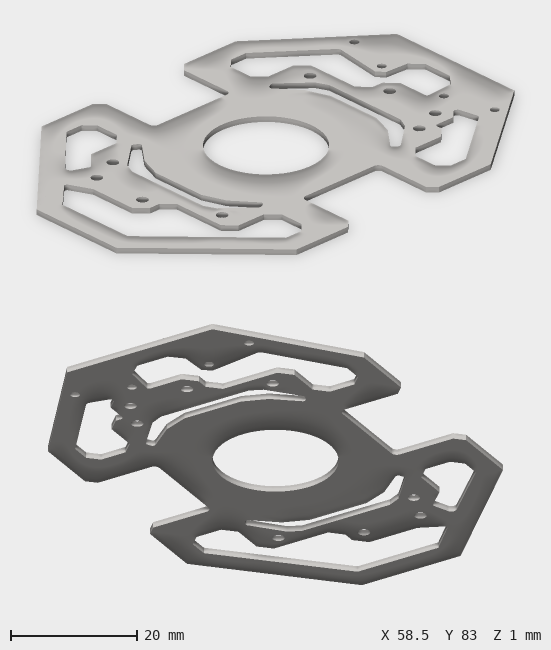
import cadquery as cq
import math

LENGTH = 83.0
WIDTH = 58.5
THICKNESS = 1.0
TOP_HALF_WIDTH = 13.45
BOTTOM_HALF_WIDTH = 9.1
SIDE_END_Y = 21.25
WAIST_X = 16.9
SHOULDER_Y = 8.5
SHOULDER_CHAMFER = 1.5
WAIST_FILLET = 1.0

RAIL_WIDTH = 4.1
POCKET_START_Y = 14.6
POCKET_SIDE_END_Y = 19.7
STEP_Y = 24.15
BOSS_X = 2.9
BOSS_Y = 30.2
POCKET_CHAMFER = 2.0
POCKET_OUTER_CHAMFER = 1.75
SMALL_FILLET = 0.5

UPPER_TIP_X = 16.0
UPPER_TIP_Y = 31.4
UPPER_TIP_FILLET = 0.8
WINDOW_TOP_Y = 37.6
WINDOW_TOP_X = 4.8
WINDOW_BASE_X = 5.3
PIN_TAB_X = 5.2
PIN_TAB_Y = 29.9
PIN_TAB_CHAMFER = 1.3
NOTCH_X = 13.45
NOTCH_SLANT_Y = 28.2
NOTCH_END_X = 11.7
NOTCH_END_Y = 29.9
NOTCH_TOP_X = 12.1
NOTCH_TOP_Y = 30.55

WEB_LEFT_TOP_X = -13.8
WEB_LEFT_TOP_Y = -25.2
WEB_LEFT_TIP_X = -15.4
WEB_LEFT_TIP_Y = -29.3
WEB_LEFT_TIP_FILLET = 0.9
WEB_LEFT_BEND_Y = -22.2
WEB_RIGHT_TOP_X = -8.0
WEB_RIGHT_TIP_X = -12.45
WEB_RIGHT_TIP_Y = -32.3
POCKET_FLOOR_Y = -37.4
POCKET_FLOOR_HALF_WIDTH = 7.5

SLOT_OUTER = [(8.1, 21.6), (10.3, 20.6)]
SLOT_TIP = [(14.85, 15.3), (14.0, 13.9)]
SLOT_INNER = [(9.5, 17.6), (5.2, 19.2)]

BORE_DIAMETER = 20.0
MOUNT_DIAMETER = 2.0
PIN_DIAMETER = 1.6
MOUNT_ROW_X = 12.5
MOUNT_ROW_Y = 21.6
MOUNT_OUTER_Y = 27.05
MOUNT_OUTER_X = 10.45
PIN_POINTS = [(16.1, 34.7), (7.1, 32.1)]


def sharp(x, y):
    return (x, y, "sharp", 0)


def chamfer(x, y, cut):
    return (x, y, "chamfer", cut)


def fillet(x, y, radius):
    return (x, y, "fillet", radius)


def unit_vector(start, end):
    distance = math.hypot(end[0] - start[0], end[1] - start[1])
    return ((end[0] - start[0]) / distance, (end[1] - start[1]) / distance)


def corner_points(before, corner, after):
    """Points along one corner: one if sharp, two if chamfered, three on the arc if filleted."""
    x, y, kind, size = corner
    if kind == "sharp":
        return [(x, y)]
    back = unit_vector(corner, before)
    ahead = unit_vector(corner, after)
    half_angle = math.acos(back[0] * ahead[0] + back[1] * ahead[1]) / 2
    reach = size if kind == "chamfer" else size / math.tan(half_angle)
    start = (x + reach * back[0], y + reach * back[1])
    end = (x + reach * ahead[0], y + reach * ahead[1])
    if kind == "chamfer":
        return [start, end]
    inward = unit_vector((0, 0), (back[0] + ahead[0], back[1] + ahead[1]))
    depth = size / math.sin(half_angle) - size
    return [start, (x + depth * inward[0], y + depth * inward[1]), end]


def prism(corners):
    """Solid of plate thickness with the given closed outline."""
    wire = cq.Workplane("XY")
    for i, corner in enumerate(corners):
        points = corner_points(corners[i - 1], corner, corners[(i + 1) % len(corners)])
        wire = wire.lineTo(*points[0]) if i else wire.moveTo(*points[0])
        if len(points) == 2:
            wire = wire.lineTo(*points[1])
        elif len(points) == 3:
            wire = wire.threePointArc(points[1], points[2])
    return wire.close().extrude(THICKNESS)


def with_mirror(corners):
    """Complete a right-hand half outline with its mirror image about X = 0."""
    return corners + [(-x, y, kind, size) for x, y, kind, size in reversed(corners)]


def plate():
    side_x = WIDTH / 2
    return prism(with_mirror([
        sharp(TOP_HALF_WIDTH, LENGTH / 2),
        sharp(side_x, SIDE_END_Y),
        chamfer(side_x, SHOULDER_Y, SHOULDER_CHAMFER),
        fillet(WAIST_X, SHOULDER_Y, WAIST_FILLET),
        fillet(WAIST_X, -SHOULDER_Y, WAIST_FILLET),
        chamfer(side_x, -SHOULDER_Y, SHOULDER_CHAMFER),
        sharp(side_x, -SIDE_END_Y),
        sharp(BOTTOM_HALF_WIDTH, -LENGTH / 2),
    ]))


def pocket_end(side, end):
    """Corners beside the plate's side rail; side is the sign of X and end the sign of Y."""
    rail_x = WIDTH / 2 - RAIL_WIDTH
    return [
        sharp(side * rail_x, end * POCKET_SIDE_END_Y),
        chamfer(side * rail_x, end * POCKET_START_Y, POCKET_OUTER_CHAMFER),
        chamfer(side * WAIST_X, end * POCKET_START_Y, POCKET_CHAMFER),
    ]


def stepped_edge(side, end):
    """Corners that step from the waist line around the outer mounting hole on X = 0."""
    return [
        chamfer(side * WAIST_X, end * STEP_Y, POCKET_CHAMFER),
        chamfer(side * BOSS_X, end * STEP_Y, POCKET_CHAMFER),
        chamfer(side * BOSS_X, end * BOSS_Y, POCKET_CHAMFER),
    ]


def upper_left_pocket():
    return prism(pocket_end(-1, 1) + stepped_edge(-1, 1) + [
        fillet(WINDOW_BASE_X, BOSS_Y, SMALL_FILLET),
        chamfer(WINDOW_TOP_X, WINDOW_TOP_Y, POCKET_CHAMFER),
        chamfer(-WINDOW_TOP_X, WINDOW_TOP_Y, POCKET_CHAMFER),
        chamfer(-PIN_TAB_X, PIN_TAB_Y, PIN_TAB_CHAMFER),
        fillet(-UPPER_TIP_X, UPPER_TIP_Y, UPPER_TIP_FILLET),
    ])


def upper_right_pocket():
    return prism(pocket_end(1, 1) + [
        chamfer(WAIST_X, STEP_Y, POCKET_CHAMFER),
        fillet(NOTCH_X, STEP_Y, SMALL_FILLET),
        sharp(NOTCH_X, NOTCH_SLANT_Y),
        fillet(NOTCH_END_X, NOTCH_END_Y, SMALL_FILLET),
        fillet(NOTCH_TOP_X, NOTCH_TOP_Y, SMALL_FILLET),
        fillet(UPPER_TIP_X, UPPER_TIP_Y, UPPER_TIP_FILLET),
    ])


def lower_left_pocket():
    return prism(pocket_end(-1, -1) + [
        sharp(-WAIST_X, WEB_LEFT_BEND_Y),
        fillet(WEB_LEFT_TOP_X, WEB_LEFT_TOP_Y, SMALL_FILLET),
        fillet(WEB_LEFT_TIP_X, WEB_LEFT_TIP_Y, WEB_LEFT_TIP_FILLET),
    ])


def lower_right_pocket():
    return prism(pocket_end(1, -1) + stepped_edge(1, -1) + [
        sharp(WEB_RIGHT_TOP_X, -BOSS_Y),
        fillet(WEB_RIGHT_TIP_X, WEB_RIGHT_TIP_Y, SMALL_FILLET),
        sharp(-POCKET_FLOOR_HALF_WIDTH, POCKET_FLOOR_Y),
        sharp(POCKET_FLOOR_HALF_WIDTH, POCKET_FLOOR_Y),
    ])


def curved_slot():
    half = [sharp(x, y) for x, y in SLOT_OUTER]
    half += [fillet(x, y, SMALL_FILLET) for x, y in SLOT_TIP]
    half += [sharp(x, y) for x, y in SLOT_INNER]
    return prism(with_mirror(half))


def holes(points, diameter):
    return cq.Workplane("XY").pushPoints(points).circle(diameter / 2).extrude(THICKNESS)


mount_points = [(x, y) for x in (-MOUNT_ROW_X, MOUNT_ROW_X) for y in (-MOUNT_ROW_Y, MOUNT_ROW_Y)]
mount_points += [(0, MOUNT_OUTER_Y), (0, -MOUNT_OUTER_Y)]
mount_points += [(MOUNT_OUTER_X, MOUNT_OUTER_Y), (-MOUNT_OUTER_X, -MOUNT_OUTER_Y)]
pin_points = [(side * x, y) for x, y in PIN_POINTS for side in (-1, 1)]

upper_slot = curved_slot()
cutouts = [
    upper_left_pocket(),
    upper_right_pocket(),
    lower_left_pocket(),
    lower_right_pocket(),
    upper_slot,
    upper_slot.mirror("XZ"),
    holes([(0, 0)], BORE_DIAMETER),
    holes(mount_points, MOUNT_DIAMETER),
    holes(pin_points, PIN_DIAMETER),
]

result = plate()
for cutout in cutouts:
    result = result.cut(cutout)